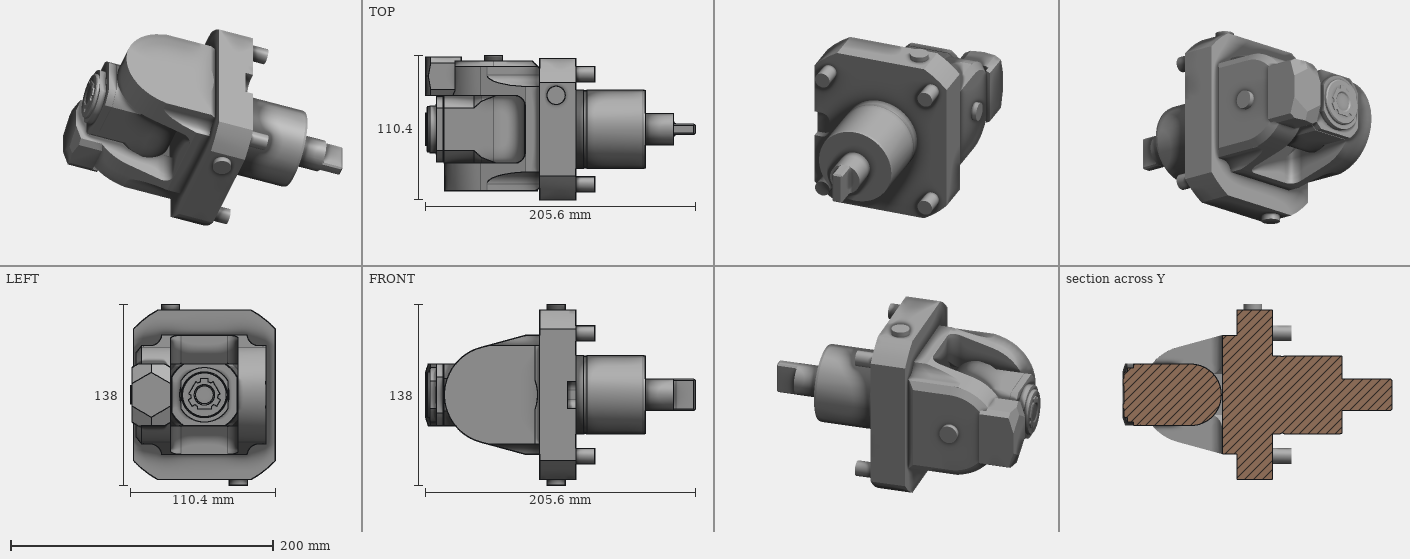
import cadquery as cq
import math


flange_thickness = 27.5
flange_width = 108.2
flange_height = 129.4
flange_corner_radius = 73.8
flange_front = -flange_thickness
pin_radius = 6.0
pin_length = 14.6
pin_y = 42.0
pin_z = 47.0
keyway_width = 20.5
keyway_depth = 6.4
keyway_length = 12.3
keyway_corner_radius = 6.8

plug_radius = 7.0
flange_plug_x = -15.0
flange_plug_y = 26.0
flange_plug_height = 4.3
arm_plug_height = 4.1

shank_radius = 30.0
shank_length = 53.0
shank_chamfer_length = 1.9
shank_chamfer_depth = 0.5
groove_start = 5.8
groove_width = 2.9
groove_depth = 0.6
shaft_radius = 12.1
shaft_end = 74.7
tang_end = 91.1
tang_thickness = 8.2
tang_chamfer = 1.2
tang_root_radius = 1.9

pivot_x = -62.7
arm_radius = 37.5
taper_angle = math.radians(15.2)
body_half_height = 45.5
flank_half_height = 37.5
flank_start_y = 41.5
flank_arc_radius = 9.0
front_arm_y = -47.0
back_arm_y = 52.2
back_chamfer_depth = 4.3
back_chamfer_inset = 5.5
back_root_chamfer = 5.8
front_root_chamfer_x = 3.5
front_root_chamfer_y = 2.0
pad_radius = 33.5
pocket_half_width = 25.7
pocket_end_x = -38.7
pocket_corner_radius = 8.0
pocket_bore_radius = 30.0

head_half_height = 23.7
head_front_x = -106.3
head_plate_thickness = 5.1
head_plate_side_step = 0.6
head_groove_width = 0.6
head_groove_depth = 0.5
head_turned_radius = 28.5
head_turned_end_x = -77.8
head_cone_mid_x = -72.0
head_cone_mid_radius = 31.9
head_cone_end_x = -60.7
head_cone_end_radius = 35.0

collar_radius = 19.0
collar_height = 0.3
nut_radius = 20.8
nut_flat_y = 17.9
nut_length = 4.7
ring_radius = 17.5
ring_length = 2.5
ring_chamfer = 0.8
collet_height = 1.0
collet_radius = 10.3
collet_lobe_width = 10.7
collet_lobe_reach = 10.7
collet_tab_width = 5.8
collet_tab_reach = 12.5
recess_radius = 7.8
recess_floor_radius = 6.8
recess_depth = 0.8

block_front_x = -114.5
block_rear_x = -92.0
block_lip_end_x = -87.2
block_outer_y = 55.3
block_bevel_length = 4.0
block_bevel_width = 10.7

overlap = 2.0
far = 205.7


def box(x_range, y_range, z_range):
    """Axis-aligned box between the given limits."""
    sizes = [high - low for low, high in (x_range, y_range, z_range)]
    corner = (x_range[0], y_range[0], z_range[0])
    return cq.Workplane("XY").box(*sizes, centered=False).translate(corner)


def disc_x(radius, start, end, y=0, z=0):
    """Cylinder along X between two X positions."""
    return cq.Workplane("YZ", origin=(start, y, z)).circle(radius).extrude(end - start)


def disc_y(radius, start, end, x):
    """Cylinder along Y between two Y positions, at Z = 0."""
    return cq.Workplane("XZ", origin=(x, start, 0)).circle(radius).extrude(start - end)


def make_flange():
    half_width = flange_width / 2
    half_height = flange_height / 2
    flange = box((flange_front, 0), (-half_width, half_width), (-half_height, half_height))
    flange = flange.intersect(disc_x(flange_corner_radius, flange_front, 0))

    keyway = box(
        (-keyway_depth, overlap),
        (-half_width - overlap, keyway_length - half_width),
        (-keyway_width / 2, keyway_width / 2),
    )
    flange = flange.cut(keyway.edges("|X and >Y").fillet(keyway_corner_radius))

    for side in (-1, 1):
        for level in (-1, 1):
            pin = disc_x(pin_radius, -overlap, pin_length, side * pin_y, level * pin_z)
            flange = flange.union(pin)
        plug = cq.Workplane("XY").circle(plug_radius).extrude(side * (half_height + flange_plug_height))
        flange = flange.union(plug.translate((flange_plug_x, side * flange_plug_y, 0)))
    return flange


def make_shank():
    chamfer_start = shank_length - shank_chamfer_length
    shank = (
        cq.Workplane("XY")
        .moveTo(-overlap, 0)
        .lineTo(-overlap, shank_radius)
        .lineTo(groove_start, shank_radius)
        .threePointArc(
            (groove_start + groove_width / 2, shank_radius - groove_depth),
            (groove_start + groove_width, shank_radius),
        )
        .lineTo(chamfer_start, shank_radius)
        .lineTo(shank_length, shank_radius - shank_chamfer_depth)
        .lineTo(shank_length, 0)
        .close()
        .revolve(360, (0, 0, 0), (1, 0, 0))
    )
    shaft = disc_x(shaft_radius, shank_length - overlap, shaft_end)
    half_tang = tang_thickness / 2
    tang = box((shaft_end, tang_end), (-half_tang, half_tang), (-shaft_radius, shaft_radius))
    tang = tang.faces(">X").edges().chamfer(tang_chamfer)
    tang = tang.edges("|X").chamfer(tang_chamfer)

    root_end = shaft_end + tang_root_radius
    root_y = half_tang + tang_root_radius
    root_z = shaft_radius - tang_chamfer
    root = box((shaft_end - overlap, root_end), (-root_y, root_y), (-root_z, root_z))
    for side in (-1, 1):
        scoop = cq.Workplane("XY", origin=(root_end, side * root_y, -root_z)).circle(tang_root_radius)
        root = root.cut(scoop.extrude(2 * root_z))
    root = root.intersect(disc_x(shaft_radius, shaft_end - overlap, root_end))
    return shank.union(shaft).union(tang).union(root)


def make_body():
    tangent_x = pivot_x - arm_radius * math.sin(taper_angle)
    tangent_z = arm_radius * math.cos(taper_angle)
    taper_end_x = tangent_x + (body_half_height - tangent_z) / math.tan(taper_angle)
    rear_x = flange_front + overlap
    chamfer_base_y = back_arm_y - back_chamfer_depth
    body = (
        cq.Workplane("XZ", origin=(0, front_arm_y, 0))
        .moveTo(rear_x, -body_half_height)
        .lineTo(taper_end_x, -body_half_height)
        .lineTo(tangent_x, -tangent_z)
        .threePointArc((pivot_x - arm_radius, 0), (tangent_x, tangent_z))
        .lineTo(taper_end_x, body_half_height)
        .lineTo(rear_x, body_half_height)
        .close()
        .extrude(front_arm_y - chamfer_base_y)
    )

    blend_rise = body_half_height - flank_half_height
    blend_run = math.sqrt(flank_arc_radius**2 - (flank_arc_radius - blend_rise) ** 2)
    blend_top_y = flank_start_y - blend_run
    for side in (-1, 1):
        for level in (-1, 1):
            signed_radius = -side * level * flank_arc_radius
            flank = (
                cq.Workplane("YZ", origin=(pivot_x - arm_radius, 0, 0))
                .moveTo(side * blend_top_y, level * body_half_height)
                .radiusArc((side * flank_start_y, level * flank_half_height), signed_radius)
                .lineTo(side * flange_width / 2, level * flank_half_height)
                .lineTo(side * flange_width / 2, level * body_half_height)
                .close()
                .extrude(rear_x - pivot_x + arm_radius)
            )
            body = body.cut(flank)

    cover = (
        cq.Workplane("XZ", origin=(0, pocket_half_width, 0))
        .moveTo(0, -flank_half_height)
        .lineTo(pivot_x, -flank_half_height)
        .threePointArc((pivot_x - flank_half_height, 0), (pivot_x, flank_half_height))
        .lineTo(0, flank_half_height)
        .close()
        .extrude(pocket_half_width - back_arm_y)
    )
    cover = cover.faces(">Y").chamfer(back_chamfer_depth, back_chamfer_inset)
    cover = cover.intersect(box((-far, rear_x), (0, far), (-far, far)))
    body = body.union(cover)

    for face_y, reach_x, reach_y in (
        (back_arm_y, back_root_chamfer, -back_root_chamfer),
        (front_arm_y, front_root_chamfer_x, front_root_chamfer_y),
    ):
        wedge = (
            cq.Workplane("XY", origin=(0, 0, -body_half_height))
            .polyline([
                (flange_front - reach_x, face_y),
                (flange_front, face_y),
                (flange_front, face_y + reach_y),
            ])
            .close()
            .extrude(2 * body_half_height)
        )
        body = body.cut(wedge)
    body = body.union(disc_y(pad_radius, front_arm_y, front_arm_y + front_root_chamfer_y, pivot_x))

    pocket = box(
        (pivot_x - 2 * arm_radius, pocket_end_x),
        (-pocket_half_width, pocket_half_width),
        (-body_half_height, body_half_height),
    )
    body = body.cut(pocket.edges("|Z and >X").fillet(pocket_corner_radius))
    body = body.cut(pocket.intersect(disc_x(pocket_bore_radius, pivot_x, pocket_end_x)))
    return body.union(disc_y(plug_radius, back_arm_y - overlap, back_arm_y + arm_plug_height, pivot_x))


def make_head():
    groove_x = head_front_x + head_plate_thickness
    block_front = groove_x + head_groove_width
    plate_half_width = pocket_half_width - head_plate_side_step
    neck_half_width = plate_half_width - head_groove_depth
    neck_half_height = head_half_height - head_groove_depth

    def slab(start, end, half_width, half_height):
        return box((start, end), (-half_width, half_width), (-half_height, half_height))

    head = disc_y(head_half_height, -pocket_half_width, pocket_half_width, pivot_x)
    head = head.union(slab(block_front, pivot_x, pocket_half_width, head_half_height))
    head = head.union(slab(head_front_x, groove_x, plate_half_width, head_half_height))
    neck = slab(head_front_x, block_front + overlap, neck_half_width, neck_half_height)
    neck = neck.intersect(disc_x(head_turned_radius - head_groove_depth, head_front_x, pivot_x))

    envelope = (
        cq.Workplane("XY")
        .polyline([
            (head_front_x, 0),
            (head_front_x, head_turned_radius),
            (head_turned_end_x, head_turned_radius),
            (head_cone_mid_x, head_cone_mid_radius),
            (head_cone_end_x, head_cone_end_radius),
            (pivot_x + head_half_height, head_cone_end_radius),
            (pivot_x + head_half_height, 0),
        ])
        .close()
        .revolve(360, (0, 0, 0), (1, 0, 0))
    )
    return head.intersect(envelope).union(neck)


def make_collet():
    nut_front_x = head_front_x - nut_length
    ring_front_x = nut_front_x - ring_length
    collet_front_x = ring_front_x - collet_height

    collar = disc_x(collar_radius, head_front_x - collar_height, head_front_x + overlap)
    nut = disc_x(nut_radius, nut_front_x, head_front_x + overlap)
    nut = nut.intersect(box((-far, 0), (-nut_flat_y, nut_flat_y), (-far, far)))
    ring = disc_x(ring_radius, ring_front_x, nut_front_x + overlap)
    ring = ring.faces("<X").chamfer(ring_chamfer)

    collet = disc_x(collet_radius, collet_front_x, ring_front_x + overlap)
    depth_range = (collet_front_x, ring_front_x + overlap)
    tab = box(depth_range, (-collet_tab_width / 2, collet_tab_width / 2), (0, collet_tab_reach))
    lobe = box(depth_range, (-collet_lobe_width / 2, collet_lobe_width / 2), (-collet_lobe_reach, 0))
    for angle in (0, 120, 240):
        for arm in (tab, lobe):
            collet = collet.union(arm.rotate((0, 0, 0), (1, 0, 0), angle))

    recess = cq.Workplane(cq.Solid.makeCone(
        recess_radius, recess_floor_radius, recess_depth,
        pnt=cq.Vector(collet_front_x, 0, 0), dir=cq.Vector(1, 0, 0),
    ))
    return collar.union(nut).union(ring).union(collet).cut(recess)


def make_hex_block():
    half_width = (block_outer_y - pocket_half_width) / 2
    center_y = block_outer_y - half_width
    bevel_end_x = block_front_x + block_bevel_length

    def hexagon(apothem, x):
        plane = cq.Plane(origin=(x, center_y, 0), xDir=(0, 0, 1), normal=(1, 0, 0))
        return cq.Workplane(plane).polygon(6, 2 * apothem / math.cos(math.pi / 6))

    outer_apothem = half_width + block_bevel_width
    front_wire = hexagon(half_width, block_front_x).val()
    bevel_wire = hexagon(outer_apothem, bevel_end_x).val()
    bevel = cq.Workplane(cq.Solid.makeLoft([front_wire, bevel_wire], True))
    prism = hexagon(outer_apothem, bevel_end_x).extrude(block_lip_end_x - bevel_end_x)
    limits = box(
        (block_front_x, block_lip_end_x),
        (pocket_half_width, block_outer_y),
        (-head_half_height, head_half_height),
    )
    block = bevel.union(prism).intersect(limits)
    behind = box((block_rear_x, 0), (0, back_arm_y), (-far, far))
    return block.cut(behind)


result = make_flange()
for component in (make_shank(), make_body(), make_head(), make_collet(), make_hex_block()):
    result = result.union(component)